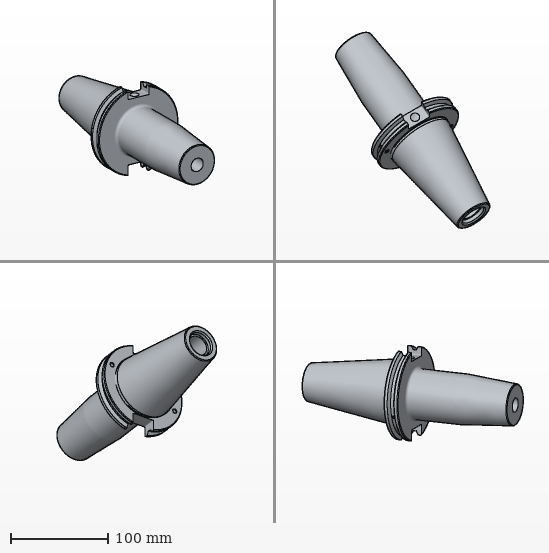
import cadquery as cq
import math


total_length = 231.5
gauge_x = 101.7
neck_x = 102.8
flange_start = 105.0
flange_width = 15.7
flange_end = flange_start + flange_width
groove_x = 112.8
nose_start = 174.6

gauge_diameter = 70.0
taper_ratio = 7 / 24
small_end_diameter = gauge_diameter - taper_ratio * gauge_x
neck_diameter = 69.2
flange_diameter = 98.0
body_diameter = 53.0
nose_diameter = 44.0

small_end_chamfer = 1.0
nose_chamfer = 1.0
flange_chamfer = 1.0
neck_fillet = 0.7
body_fillet = 3.0

groove_floor_diameter = 90.3
groove_floor_width = 3.5
groove_side_angle = 30

through_diameter = 14.8
thread_diameter = 22.0
thread_end = 46.3
entry_diameter = 26.2
entry_depth = 5.8
entry_chamfer_diameter = 29.0
entry_chamfer_depth = 1.6
drill_tip_angle = 118

slot_width = 25.5
slot_corner_radius = 1.0
top_slot_floor = 37.8
bottom_slot_floor = 35.2
chip_hole_diameter = 9.5

coolant_angle = 20
coolant_radius = 41.7
coolant_diameter = 4.2
coolant_mouth_diameter = 5.0
coolant_depth = 9.3
screw_hole_diameter = 3.2


def cone_depth(large_diameter, small_diameter=0.0):
    """Length of a drill tip between two diameters."""
    half_angle = math.radians(drill_tip_angle / 2)
    return (large_diameter - small_diameter) / 2 / math.tan(half_angle)


def revolve_about_x(profile):
    return profile.close().revolve(360, (0, 0, 0), (1, 0, 0))


def make_body():
    small_radius = small_end_diameter / 2
    neck_radius = neck_diameter / 2
    flange_radius = flange_diameter / 2
    body_radius = body_diameter / 2
    nose_radius = nose_diameter / 2
    diagonal = math.sqrt(0.5)
    profile = (
        cq.Workplane("XY")
        .lineTo(0, small_radius - small_end_chamfer)
        .lineTo(small_end_chamfer, small_radius + taper_ratio * small_end_chamfer / 2)
        .lineTo(gauge_x, gauge_diameter / 2)
        .lineTo(neck_x, neck_radius)
        .lineTo(flange_start - neck_fillet, neck_radius)
        .threePointArc(
            (flange_start - neck_fillet * (1 - diagonal), neck_radius + neck_fillet * (1 - diagonal)),
            (flange_start, neck_radius + neck_fillet),
        )
        .lineTo(flange_start, flange_radius - flange_chamfer)
        .lineTo(flange_start + flange_chamfer, flange_radius)
        .lineTo(flange_end - flange_chamfer, flange_radius)
        .lineTo(flange_end, flange_radius - flange_chamfer)
        .lineTo(flange_end, body_radius + body_fillet)
        .threePointArc(
            (flange_end + body_fillet * (1 - diagonal), body_radius + body_fillet * (1 - diagonal)),
            (flange_end + body_fillet, body_radius),
        )
        .lineTo(nose_start, body_radius)
        .lineTo(total_length - nose_chamfer, nose_radius)
        .lineTo(total_length, nose_radius - nose_chamfer)
        .lineTo(total_length, 0)
    )
    return revolve_about_x(profile)


def make_groove():
    floor_radius = groove_floor_diameter / 2
    outer_radius = flange_diameter / 2
    floor_half = groove_floor_width / 2
    side_run = (outer_radius - floor_radius) * math.tan(math.radians(groove_side_angle))
    outer_half = floor_half + side_run
    profile = (
        cq.Workplane("XY")
        .moveTo(groove_x - floor_half, floor_radius)
        .lineTo(groove_x + floor_half, floor_radius)
        .lineTo(groove_x + outer_half, outer_radius)
        .lineTo(groove_x - outer_half, outer_radius)
    )
    return revolve_about_x(profile)


def make_bore():
    tip_end = thread_end + cone_depth(thread_diameter, through_diameter)
    profile = (
        cq.Workplane("XY")
        .lineTo(0, entry_chamfer_diameter / 2)
        .lineTo(entry_chamfer_depth, entry_diameter / 2)
        .lineTo(entry_depth, entry_diameter / 2)
        .lineTo(entry_depth, thread_diameter / 2)
        .lineTo(thread_end, thread_diameter / 2)
        .lineTo(tip_end, through_diameter / 2)
        .lineTo(total_length, through_diameter / 2)
        .lineTo(total_length, 0)
    )
    return revolve_about_x(profile)


def make_slot(floor, side):
    """Drive slot through the flange; side is +1 for top, -1 for bottom."""
    height = flange_diameter / 2 - floor
    middle_x = flange_start + flange_width / 2
    middle_z = side * (floor + height / 2)
    slot = cq.Workplane("XY").box(flange_width, slot_width, height)
    floor_side = "<Z" if side > 0 else ">Z"
    slot = slot.faces(floor_side).edges("|X").fillet(slot_corner_radius)
    return slot.translate((middle_x, 0, middle_z))


def make_chip_hole():
    """Conical drill spot in the top slot floor."""
    profile = (
        cq.Workplane("XZ", origin=(groove_x, 0, 0))
        .moveTo(0, top_slot_floor)
        .lineTo(chip_hole_diameter / 2, top_slot_floor)
        .lineTo(0, top_slot_floor - cone_depth(chip_hole_diameter))
        .close()
    )
    return profile.revolve(360, (0, 0, 0), (0, 1, 0))


def make_coolant_holes(turn):
    """Axial coolant hole and the radial screw hole that meets it."""
    radius = coolant_diameter / 2
    mouth_radius = coolant_mouth_diameter / 2
    mouth_depth = mouth_radius - radius
    start = cq.Vector(flange_start, coolant_radius, 0)
    along = cq.Vector(1, 0, 0)
    axial = cq.Solid.makeCylinder(radius, coolant_depth, start, along)
    mouth = cq.Solid.makeCone(mouth_radius, radius, mouth_depth, start, along)
    screw_length = flange_diameter / 2 - coolant_radius
    screw_start = cq.Vector(groove_x, coolant_radius, 0)
    screw = cq.Solid.makeCylinder(screw_hole_diameter / 2, screw_length, screw_start, cq.Vector(0, 1, 0))
    holes = cq.Workplane(axial).union(cq.Workplane(mouth)).union(cq.Workplane(screw))
    return holes.rotate((0, 0, 0), (1, 0, 0), turn)


result = make_body().cut(make_groove()).cut(make_bore())
result = result.cut(make_slot(top_slot_floor, 1)).cut(make_slot(bottom_slot_floor, -1))
result = result.cut(make_chip_hole())
for turn in (coolant_angle, coolant_angle + 180):
    result = result.cut(make_coolant_holes(turn))